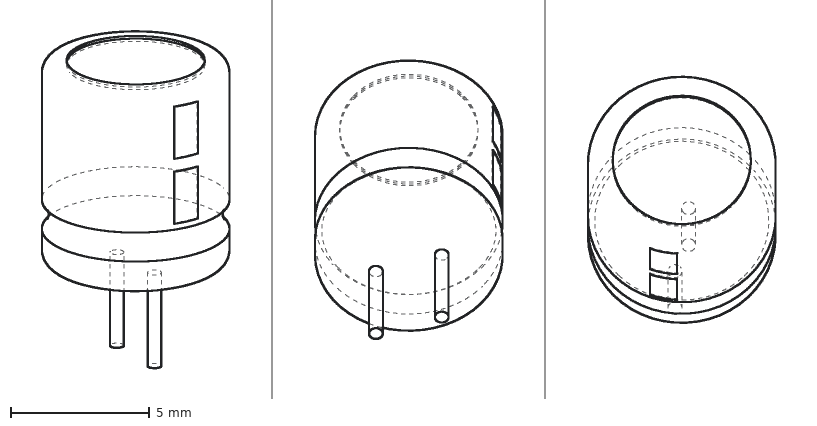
import cadquery as cq
import math

TOTAL_HEIGHT = 11.4

CAN_DIAMETER = 6.8
CAN_RADIUS = CAN_DIAMETER / 2
CAN_HEIGHT = 7.8
EDGE_RADIUS = 0.5

GROOVE_BOTTOM = 1.3
GROOVE_TOP = 2.42
GROOVE_DEPTH = 0.25

DISC_RADIUS = 2.5
DISC_THICKNESS = 0.1
DISC_RECESS = 0.1

DASH_LENGTH = 2.01
DASH_WIDTH = 1.0
DASH_THICKNESS = 0.05
DASH_GAP = 0.5
LOWEST_DASH_BOTTOM = 2.65
DASH_COUNT = 2
DASH_BOTTOMS = [LOWEST_DASH_BOTTOM + i * (DASH_LENGTH + DASH_GAP) for i in range(DASH_COUNT)]

LEAD_DIAMETER = 0.5
LEAD_SPACING = 2.5
LEAD_LENGTH = TOTAL_HEIGHT - CAN_HEIGHT


def make_disc():
    """Round disc on the floor of the top recess."""
    floor = CAN_HEIGHT - DISC_RECESS - DISC_THICKNESS
    return cq.Workplane("XY").workplane(offset=floor).circle(DISC_RADIUS).extrude(DISC_THICKNESS)


def make_dash(bottom):
    """Curved plate whose outer face is flush with the side of the can."""
    ring = (
        cq.Workplane("XY")
        .workplane(offset=bottom)
        .circle(CAN_RADIUS)
        .circle(CAN_RADIUS - DASH_THICKNESS)
        .extrude(DASH_LENGTH)
    )
    strip = (
        cq.Workplane("XY")
        .workplane(offset=bottom)
        .center(CAN_RADIUS / 2, 0)
        .rect(CAN_DIAMETER, DASH_WIDTH)
        .extrude(DASH_LENGTH)
    )
    return ring.intersect(strip)


def make_can_blank():
    """Revolved can with rounded ends and the crimp groove."""
    corner_inset = EDGE_RADIUS * (1 - math.sqrt(0.5))
    flat_radius = CAN_RADIUS - EDGE_RADIUS
    groove_middle = (GROOVE_BOTTOM + GROOVE_TOP) / 2
    profile = (
        cq.Workplane("XZ")
        .lineTo(flat_radius, 0)
        .threePointArc((CAN_RADIUS - corner_inset, corner_inset), (CAN_RADIUS, EDGE_RADIUS))
        .lineTo(CAN_RADIUS, GROOVE_BOTTOM)
        .threePointArc((CAN_RADIUS - GROOVE_DEPTH, groove_middle), (CAN_RADIUS, GROOVE_TOP))
        .lineTo(CAN_RADIUS, CAN_HEIGHT - EDGE_RADIUS)
        .threePointArc((CAN_RADIUS - corner_inset, CAN_HEIGHT - corner_inset), (flat_radius, CAN_HEIGHT))
        .lineTo(0, CAN_HEIGHT)
        .close()
    )
    return profile.revolve(360, (0, 0), (0, 1))


def make_can(dashes):
    """Can with the top recess and a matching pocket for each dash."""
    pocket_depth = DISC_RECESS + DISC_THICKNESS
    top_pocket = (
        cq.Workplane("XY")
        .workplane(offset=CAN_HEIGHT - pocket_depth)
        .circle(DISC_RADIUS)
        .extrude(pocket_depth)
    )
    can = make_can_blank().cut(top_pocket)
    for dash in dashes:
        can = can.cut(dash)
    return can


def make_lead(x):
    """Round lead hanging from the flat bottom of the can."""
    return cq.Workplane("XY").center(x, 0).circle(LEAD_DIAMETER / 2).extrude(-LEAD_LENGTH)


disc = make_disc()
dashes = [make_dash(bottom) for bottom in DASH_BOTTOMS]
can = make_can(dashes)
leads = [make_lead(side * LEAD_SPACING / 2) for side in (-1, 1)]

result = cq.Compound.makeCompound(
    [can.val(), disc.val(), *[dash.val() for dash in dashes], *[lead.val() for lead in leads]]
)